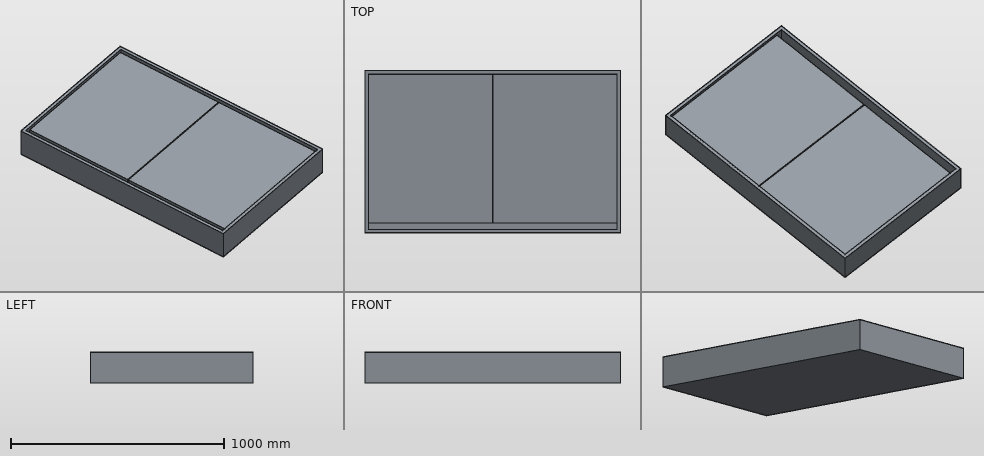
import cadquery as cq

length = 1200.0
width = 763.0
height = 145.0
board = 17.0

door_recess = 15.0
door_gap = 4.0
front_opening = 29.0

inner_length = length - 2 * board
inner_width = width - 2 * board
door_length = (inner_length - door_gap) / 2
door_width = inner_width - front_opening - door_gap
door_center_x = (door_length + door_gap) / 2
door_center_y = (front_opening - door_gap) / 2
door_bottom = height - door_recess - board


def block(size_x, size_y, size_z, bottom):
    """Rectangular block centred on X and Y, standing on the given Z level."""
    return cq.Workplane("XY").workplane(offset=bottom).rect(size_x, size_y).extrude(size_z)


def make_cabinet():
    """Four walls and a floor, open at the top."""
    cavity = block(inner_length, inner_width, height - board, board)
    return block(length, width, height, 0).cut(cavity)


def make_door(center_x):
    """Flat door resting between the cabinet side walls."""
    door = block(door_length, door_width, board, door_bottom)
    return door.translate((center_x, door_center_y, 0))


cabinet = make_cabinet()
doors = []
for side in (-1, 1):
    doors.append(make_door(side * door_center_x))

result = cq.Compound.makeCompound([cabinet.val(), *[door.val() for door in doors]])